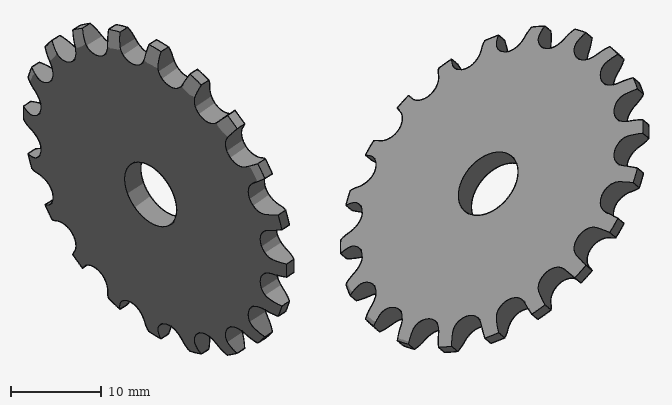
import cadquery as cq
import math

tooth_count = 20
tip_radius = 20.35
thickness = 2.6
bore_diameter = 8.0

flat_face_radius = 17.6
tip_thickness = 1.22

pitch_radius = 19.15
seat_radius = 2.0
seat_half_angle = math.radians(80)
tip_width = 1.87
cutter_clearance = 0.8
cutter_top = tip_radius + cutter_clearance


def rim_blank():
    """Revolve the half section, whose side arcs are tangent to the flat faces."""
    half_thickness = thickness / 2
    half_tip = tip_thickness / 2
    rim_height = tip_radius - flat_face_radius
    side_drop = half_thickness - half_tip
    side_radius = (rim_height**2 + side_drop**2) / (2 * side_drop)
    mid_angle = math.asin(rim_height / side_radius) / 2
    mid_r = flat_face_radius + side_radius * math.sin(mid_angle)
    mid_y = half_thickness - side_radius * (1 - math.cos(mid_angle))
    section = (
        cq.Workplane("XY")
        .moveTo(0, -half_thickness)
        .lineTo(flat_face_radius, -half_thickness)
        .threePointArc((mid_r, -mid_y), (tip_radius, -half_tip))
        .lineTo(tip_radius, half_tip)
        .threePointArc((mid_r, mid_y), (flat_face_radius, half_thickness))
        .lineTo(0, half_thickness)
        .close()
    )
    return section.revolve(360, (0, 0, 0), (0, 1, 0))


def gap_cutter():
    """Prism of one tooth gap, centred on the +Z axis: round seat and straight flanks."""
    seat_x = seat_radius * math.sin(seat_half_angle)
    seat_z = pitch_radius - seat_radius * math.cos(seat_half_angle)
    tip_angle = math.pi / tooth_count - math.asin(tip_width / 2 / tip_radius)
    tip_x = tip_radius * math.sin(tip_angle)
    tip_z = tip_radius * math.cos(tip_angle)
    return (
        cq.Workplane("XZ", origin=(0, -thickness / 2, 0))
        .moveTo(-tip_x, cutter_top)
        .lineTo(-tip_x, tip_z)
        .lineTo(-seat_x, seat_z)
        .threePointArc((0, pitch_radius - seat_radius), (seat_x, seat_z))
        .lineTo(tip_x, tip_z)
        .lineTo(tip_x, cutter_top)
        .close()
        .extrude(-thickness)
    )


def bore_cutter():
    """Through cylinder from one flat face to the other."""
    return (
        cq.Workplane("XZ", origin=(0, -thickness / 2, 0))
        .circle(bore_diameter / 2)
        .extrude(-thickness)
    )


tooth_step = 360 / tooth_count
gap = gap_cutter()
result = rim_blank().cut(bore_cutter())
for index in range(tooth_count):
    gap_angle = (index + 0.5) * tooth_step
    result = result.cut(gap.rotate((0, 0, 0), (0, 1, 0), gap_angle))